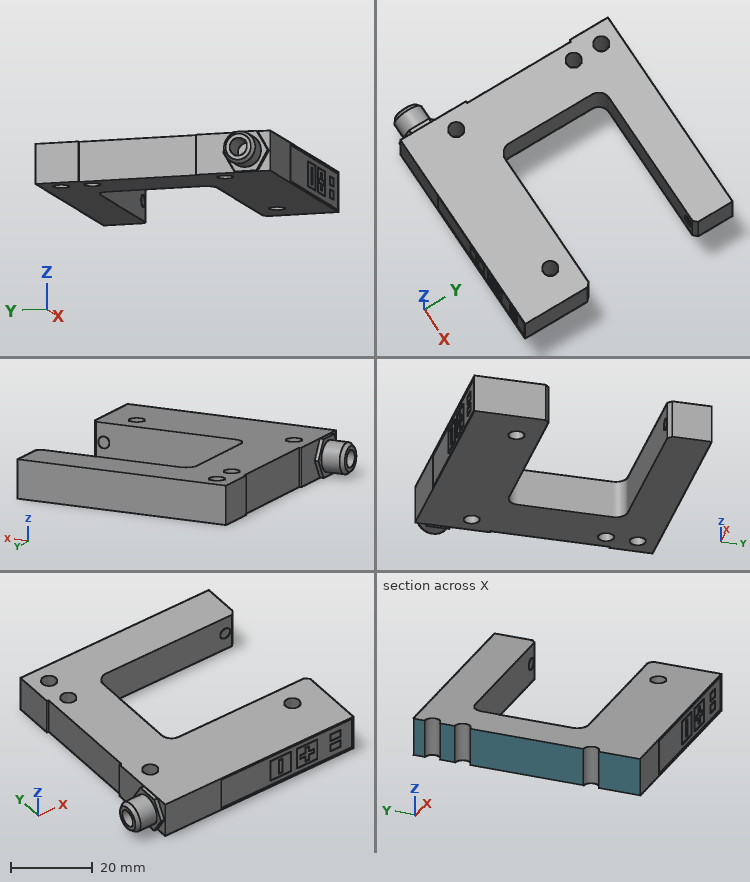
import cadquery as cq
import math

body_length = 57.0
body_width = 60.0
thickness = 10.0
gap_floor_x = 15.0
gap_start_y = 19.0
gap_end_y = body_width - 11.0
gap_corner_radius = 3.0
tip_chamfer = 1.0
back_relief_depth = 0.5

hole_diameter = 4.0
hole_x = 5.0
far_hole_x = 48.0
lower_hole_y = 13.0
upper_hole_y = 47.0
top_hole_y = 55.0

connector_y = 6.0
connector_length = 7.0
connector_diameter = 8.0
connector_chamfer_length = 1.0
connector_chamfer_radial = 0.8
bore_diameter = 4.4
bore_depth = connector_length
nut_thickness = 1.0
nut_flat_width = 9.85
nut_corner_diameter = nut_flat_width / math.cos(math.pi / 6)

panel_start_x = 17.0
panel_margin = 0.45
panel_depth = 0.1
button_size = 6.15
minus_x = 35.0
plus_x = 43.0
symbol_length = 4.2
symbol_width = 1.1
lamp_x = 51.6
lamp_length = 3.1
lamp_height = 2.05
lamp_offset_z = 1.6

window_diameter = 3.0
window_x = body_length - 3.0
window_depth = 0.1


def make_body():
    gap_length = body_length - gap_floor_x
    gap_width = gap_end_y - gap_start_y
    body = cq.Workplane("XY").box(body_length, body_width, thickness, centered=(False, False, True))
    gap = (
        cq.Workplane("XY")
        .box(gap_length, gap_width, thickness, centered=(False, False, True))
        .edges("|Z and <X")
        .fillet(gap_corner_radius)
        .translate((gap_floor_x, gap_start_y, 0))
    )
    relief = (
        cq.Workplane("XY")
        .box(back_relief_depth, gap_width, thickness, centered=(False, False, True))
        .translate((0, gap_start_y, 0))
    )
    body = body.cut(gap).cut(relief)
    for y in (gap_start_y, gap_end_y):
        tip_edge = cq.selectors.NearestToPointSelector((body_length, y, 0))
        body = body.edges("|Z").edges(tip_edge).chamfer(tip_chamfer)
    return body


def make_mounting_holes():
    centers = [
        (hole_x, lower_hole_y),
        (far_hole_x, lower_hole_y),
        (hole_x, upper_hole_y),
        (hole_x, top_hole_y),
    ]
    return (
        cq.Workplane("XY", origin=(0, 0, -thickness / 2))
        .pushPoints(centers)
        .circle(hole_diameter / 2)
        .extrude(thickness)
    )


def connector_plane(x):
    return cq.Workplane("YZ", origin=(x, connector_y, 0))


def make_connector():
    nut = connector_plane(-nut_thickness).polygon(6, nut_corner_diameter).extrude(nut_thickness)
    barrel = (
        connector_plane(-connector_length)
        .circle(connector_diameter / 2)
        .extrude(connector_length)
        .faces("<X")
        .chamfer(connector_chamfer_length, connector_chamfer_radial)
    )
    bore = connector_plane(-connector_length).circle(bore_diameter / 2).extrude(bore_depth)
    return nut.union(barrel).cut(bore)


def panel_block(x, z, length, height):
    """Thin block centered on (x, z), filling the depth of the panel recess."""
    return (
        cq.Workplane("XY")
        .box(length, panel_depth, height, centered=(True, False, True))
        .translate((x, 0, z))
    )


def add_panel(body):
    panel_end_x = body_length - panel_margin
    recess = panel_block(
        (panel_start_x + panel_end_x) / 2,
        0,
        panel_end_x - panel_start_x,
        thickness - 2 * panel_margin,
    )
    body = body.cut(recess)
    for x in (minus_x, plus_x):
        body = body.union(panel_block(x, 0, button_size, button_size))
        body = body.cut(panel_block(x, 0, symbol_width, symbol_length))
    body = body.cut(panel_block(plus_x, 0, symbol_length, symbol_width))
    for z in (-lamp_offset_z, lamp_offset_z):
        body = body.union(panel_block(lamp_x, z, lamp_length, lamp_height))
    return body


def make_window(face_y, depth):
    """Shallow disc on a gap face; a positive depth runs toward -Y."""
    return (
        cq.Workplane("XZ", origin=(window_x, face_y, 0))
        .circle(window_diameter / 2)
        .extrude(depth)
    )


fork = make_body().cut(make_mounting_holes())
fork = fork.cut(make_window(gap_start_y, window_depth))
fork = fork.cut(make_window(gap_end_y, -window_depth))
result = add_panel(fork).union(make_connector())